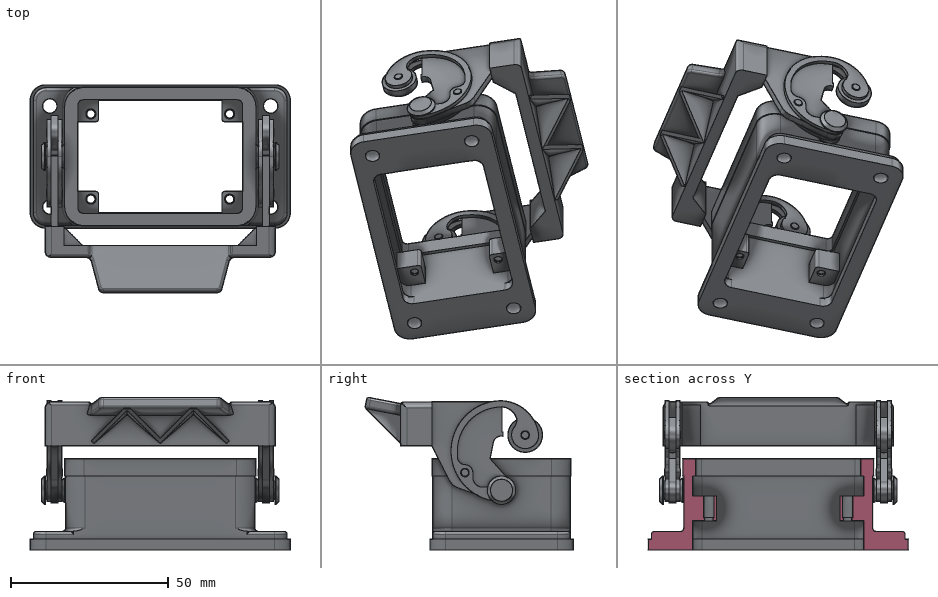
import cadquery as cq
import math

COS_45 = math.sqrt(0.5)
PICK_MARGIN = 0.1

BASE_X, BASE_Y, BASE_H, BASE_R = 82.5, 45.5, 3.5, 5.0
STEP_X, STEP_Y, STEP_TOP, STEP_R = 80.5, 43.7, 6.0, 4.1
STEP_EDGE_R = 1.0
MOUNT_HOLE_D, MOUNT_HOLE_X, MOUNT_HOLE_Y = 4.5, 35.0, 16.0

BODY_X, BODY_R = 60.0, 6.1
BODY_Y = STEP_Y
BODY_FILLET = 1.0
CAP_X, CAP_Y, CAP_R = 60.6, 44.0, 6.2
CAP_BOTTOM, CAP_TOP = 23.5, 29.0
MOUTH_X, MOUTH_Y, MOUTH_R = 52.2, 36.0, 1.7
CHAMBER_X, CHAMBER_Y, CHAMBER_R = 54.2, 37.4, 3.0
FLOOR_OPENING_Y = 35.4
POST_INNER_X, POST_INNER_Y, POST_R = 19.5, 11.0, 1.0
POST_BOTTOM, POST_TOP = 9.3, 17.2
SCREW_X, SCREW_Y = 22.0, 13.5
SCREW_D, SCREW_TIP_D, SCREW_TIP_H = 3.2, 2.6, 1.0

PLATE_IN, LEVER_IN, LEVER_OUT, PLATE_OUT = 31.2, 32.4, 34.6, 35.85

PIVOT_Z = 19.0
BOSS_R, BOSS_END_R = 3.9, 3.1
SHAFT_R = 3.0
HEAD_IN, HEAD_OUT, HEAD_R, HEAD_CHAMFER = 36.4, 37.7, 4.5, 1.0

PLATE_R, PLATE_INNER_R = 16.0, 14.0
PLATE_EYE_R = 3.6
PLATE_Z = PIVOT_Z - PLATE_EYE_R + PLATE_R
ROLLER_Y, ROLLER_Z, ROLLER_R = 7.5, 36.5, 5.5
PLATE_END_R = 4.3
RIVET_Y, RIVET_Z = -11.6, 24.6
RIVET_R, RIVET_H, RIVET_CHAMFER = 1.35, 0.2, 0.19
RIVET_BOSS_R = 2.5
HOOK_BACK_MID = (8.15, 43.9)
HOOK_THROAT_MID, HOOK_THROAT_END = (3.5, 43.9), (4.9, 41.1)
STRAP_RISE, STRAP_END_Y = 1.0, -6.5
STRAP_BEND_MID, STRAP_BEND_Z = (-8.3, 21.0), 23.2
BOSS_BEND_MID, BOSS_BEND_Z = (-13.3, 27.9), 29.6

LEVER_EYE_R, LEVER_KNEE_R, LEVER_KNEE_Y = 4.0, 5.0, -15.7
LEVER_LOW_ANGLE, LEVER_STEEP_ANGLE = 20.0, 50.0
LEVER_NOSE_Y, LEVER_TOOTH_Y = 0.2, 0.5
LEVER_TOOTH_TOP, LEVER_TOOTH_BOTTOM = 37.5, 36.1
LEVER_HEEL_MID, LEVER_HEEL_END = (-1.7, 35.6), (-2.5, 34.5)
LEVER_CROOK = (-3.6, 29.0)
HANDLE_X = 73.0
HANDLE_BACK, HANDLE_FRONT = -22.1, -32.0
HANDLE_BOTTOM, HANDLE_TOP, LEVER_TOP = 33.1, 47.0, 47.1
ARM_IN, BAR_BACK = 30.5, -28.2
HANDLE_CORNER_R, HANDLE_EDGE_R = 2.0, 1.0
GUSSET_LEG, GUSSET_DROP = 5.9, 1.0

TAB_TIP, TAB_ROOT_GAP = -43.35, 1.0
TAB_ROOT_X, TAB_NECK_R = 24.0, 2.3
TAB_ANGLE, TAB_TAPER = 11.0, 14.5
TAB_T, TAB_UNDER_Z = 3.68, 42.75
TAB_EDGE_R, TAB_CORNER_R = 0.8, 1.7
RECESS_X, RECESS_R = 22.3, 0.6

RIB_FOOT_Z, RIB_PITCH, RIB_T, RIB_FLARE = 33.8, 10.5, 1.2, 1.35
RIB_REACH, RIB_TAB_ROOM = 11.0, 3.0


def rounded_block(length, width, radius, bottom, top):
    block = cq.Workplane("XY").workplane(offset=bottom).rect(length, width)
    return block.extrude(top - bottom).edges("|Z").fillet(radius)


def x_cylinder(y, z, radius, start, end):
    return cq.Workplane("YZ", origin=(start, y, z)).circle(radius).extrude(end - start)


def both_sides(half):
    return half.union(half.mirror("YZ"))


def make_base():
    base = rounded_block(BASE_X, BASE_Y, BASE_R, 0, BASE_H)
    step = rounded_block(STEP_X, STEP_Y, STEP_R, 0, STEP_TOP)
    step = step.faces(">Z").edges().fillet(STEP_EDGE_R)
    body = rounded_block(BODY_X, BODY_Y, BODY_R, 0, CAP_BOTTOM)
    cap = rounded_block(CAP_X, CAP_Y, CAP_R, CAP_BOTTOM, CAP_TOP)
    return base.union(step).union(body).union(make_root_fillet()).union(cap)


def make_root_fillet():
    """Concave fillet around the foot of the body, trimmed to the outline of the flange step."""
    r = BODY_FILLET
    half_x = BODY_X / 2
    straight_y = BODY_Y / 2 - BODY_R
    mid = r * (1 - COS_45)

    def profile():
        section = cq.Workplane("XZ", origin=(half_x, straight_y, STEP_TOP))
        section = section.moveTo(0, -r).lineTo(r, -r).lineTo(r, 0)
        return section.threePointArc((mid, mid), (0, r)).close()

    side = profile().extrude(2 * straight_y)
    corner = profile().revolve(90, (-BODY_R, 0, 0), (-BODY_R, 1, 0))
    half = side.union(corner).union(corner.mirror("XZ"))
    trim = rounded_block(STEP_X, STEP_Y, STEP_R, 0, CAP_BOTTOM)
    return both_sides(half.intersect(trim))


def make_cavity():
    mouth = rounded_block(MOUTH_X, MOUTH_Y, MOUTH_R, CAP_BOTTOM, CAP_TOP)
    chamber = rounded_block(CHAMBER_X, CHAMBER_Y, CHAMBER_R, BASE_H, CAP_BOTTOM)
    floor = rounded_block(CHAMBER_X, FLOOR_OPENING_Y, CHAMBER_R, 0, BASE_H)
    return mouth.union(chamber).union(floor)


def make_post(sx, sy):
    """Corner post with a stepped screw hole; its outer sides are sunk in the chamber walls."""
    outer_x, outer_y = (CHAMBER_X + CHAMBER_R) / 2, (CHAMBER_Y + CHAMBER_R) / 2
    size_x, size_y = outer_x - POST_INNER_X, outer_y - POST_INNER_Y
    center = (sx * (outer_x + POST_INNER_X) / 2, sy * (outer_y + POST_INNER_Y) / 2, POST_BOTTOM)
    post = cq.Workplane("XY", origin=center).rect(size_x, size_y).extrude(POST_TOP - POST_BOTTOM)
    post = post.edges("|Z").fillet(POST_R)
    screw_axis = cq.Workplane("XY", origin=(sx * SCREW_X, sy * SCREW_Y, POST_BOTTOM))
    tip_hole = screw_axis.circle(SCREW_TIP_D / 2).extrude(POST_TOP - POST_BOTTOM)
    screw_hole = screw_axis.workplane(offset=SCREW_TIP_H).circle(SCREW_D / 2)
    return post.cut(tip_hole).cut(screw_hole.extrude(POST_TOP - POST_BOTTOM))


def make_housing():
    housing = make_base().cut(make_cavity())
    holes = cq.Workplane("XY").rect(2 * MOUNT_HOLE_X, 2 * MOUNT_HOLE_Y, forConstruction=True)
    housing = housing.cut(holes.vertices().circle(MOUNT_HOLE_D / 2).extrude(STEP_TOP))
    for sx in (-1, 1):
        for sy in (-1, 1):
            housing = housing.union(make_post(sx, sy))
    return housing


def make_pivot():
    boss_start = (CHAMBER_X + BODY_X) / 4
    boss = x_cylinder(0, PIVOT_Z, BOSS_R, boss_start, PLATE_IN)
    boss = boss.faces(">X").chamfer(BOSS_R - BOSS_END_R)
    shaft = x_cylinder(0, PIVOT_Z, SHAFT_R, boss_start, HEAD_OUT)
    head = x_cylinder(0, PIVOT_Z, HEAD_R, HEAD_IN, HEAD_OUT).faces(">X").chamfer(HEAD_CHAMFER)
    return boss.union(shaft).union(head)


def hook_plate(start, end):
    """C-shaped side plate running from the pivot eye round to the roller eye."""
    strap_z = PIVOT_Z + STRAP_RISE
    eye_y = -math.sqrt(PLATE_EYE_R ** 2 - STRAP_RISE ** 2)
    boss_y = RIVET_Y + RIVET_BOSS_R
    boss_45 = RIVET_BOSS_R * COS_45
    inner_45 = PLATE_INNER_R * COS_45
    end_45 = PLATE_END_R * COS_45
    inner_top = (0, PLATE_Z + PLATE_INNER_R)
    roller_back = (ROLLER_Y + PLATE_END_R, ROLLER_Z)
    plate = (
        cq.Workplane("YZ", origin=(start, 0, 0))
        .moveTo(*roller_back)
        .threePointArc(HOOK_BACK_MID, (0, PLATE_Z + PLATE_R))
        .threePointArc((-PLATE_R, PLATE_Z), (0, PLATE_Z - PLATE_R))
        .threePointArc((PLATE_EYE_R, PIVOT_Z), (eye_y, strap_z))
        .lineTo(STRAP_END_Y, strap_z)
        .threePointArc(STRAP_BEND_MID, (boss_y, STRAP_BEND_Z))
        .lineTo(boss_y, RIVET_Z)
        .threePointArc((RIVET_Y + boss_45, RIVET_Z + boss_45), (RIVET_Y, RIVET_Z + RIVET_BOSS_R))
        .threePointArc(BOSS_BEND_MID, (-PLATE_INNER_R, BOSS_BEND_Z))
        .lineTo(-PLATE_INNER_R, PLATE_Z)
        .threePointArc((-inner_45, PLATE_Z + inner_45), inner_top)
        .threePointArc(HOOK_THROAT_MID, HOOK_THROAT_END)
        .lineTo(ROLLER_Y - end_45, ROLLER_Z + end_45)
        .threePointArc((ROLLER_Y, ROLLER_Z - PLATE_END_R), roller_back)
        .close()
    )
    return plate.extrude(end - start)


def lever_plate():
    """Flat arm between the pivot eye and the handle."""
    low, steep = math.radians(LEVER_LOW_ANGLE), math.radians(LEVER_STEEP_ANGLE)
    low_tangent = (-LEVER_EYE_R * math.sin(low), PIVOT_Z - LEVER_EYE_R * math.cos(low))
    high_tangent = (LEVER_EYE_R * math.sin(steep), PIVOT_Z + LEVER_EYE_R * math.cos(steep))
    knee_z = low_tangent[1] + (low_tangent[0] - LEVER_KNEE_Y) * math.tan(low)
    arm = (
        cq.Workplane("YZ", origin=(LEVER_IN, 0, 0))
        .moveTo(*low_tangent)
        .lineTo(LEVER_KNEE_Y, knee_z)
        .lineTo(HANDLE_BACK, HANDLE_BOTTOM)
        .lineTo(HANDLE_BACK, LEVER_TOP)
        .lineTo(LEVER_NOSE_Y, LEVER_TOP)
        .lineTo(LEVER_NOSE_Y, LEVER_TOOTH_TOP)
        .lineTo(LEVER_TOOTH_Y, LEVER_TOOTH_TOP)
        .lineTo(LEVER_TOOTH_Y, LEVER_TOOTH_BOTTOM)
        .threePointArc(LEVER_HEEL_MID, LEVER_HEEL_END)
        .lineTo(*LEVER_CROOK)
        .lineTo(*high_tangent)
        .threePointArc((LEVER_EYE_R, PIVOT_Z), low_tangent)
        .close()
        .extrude(LEVER_OUT - LEVER_IN)
    )
    knee = cq.selectors.NearestToPointSelector(((LEVER_IN + LEVER_OUT) / 2, LEVER_KNEE_Y, knee_z))
    return arm.edges("|X").edges(knee).fillet(LEVER_KNEE_R)


def make_side():
    """Pivot, lever, two hook plates, roller and rivets of the +X side."""
    side = make_pivot().union(lever_plate())
    side = side.union(hook_plate(PLATE_IN, LEVER_IN)).union(hook_plate(LEVER_OUT, PLATE_OUT))
    side = side.union(x_cylinder(ROLLER_Y, ROLLER_Z, ROLLER_R, LEVER_IN, LEVER_OUT))
    for y, z in ((ROLLER_Y, ROLLER_Z), (RIVET_Y, RIVET_Z)):
        rivet = x_cylinder(y, z, RIVET_R, PLATE_IN - RIVET_H, PLATE_OUT + RIVET_H)
        side = side.union(rivet.faces("<X or >X").chamfer(RIVET_CHAMFER))
    return side


def tilt(solid):
    """Swing a level solid about the lower root line of the tab into the slope of the tab."""
    pivot = (0, HANDLE_FRONT, TAB_UNDER_Z)
    return solid.rotate(pivot, (1, HANDLE_FRONT, TAB_UNDER_Z), -TAB_ANGLE)


def make_tab():
    """Tapered thumb tab, blended into the bar by a concave neck and tilted upwards to its tip."""
    root = BAR_BACK - TAB_ROOT_GAP
    tip = HANDLE_FRONT + (TAB_TIP - HANDLE_FRONT) / math.cos(math.radians(TAB_ANGLE))
    turn = math.radians(90 - TAB_TAPER)

    def on_neck(angle):
        x = TAB_ROOT_X - TAB_NECK_R * math.sin(angle)
        return x, HANDLE_FRONT - TAB_NECK_R * (1 - math.cos(angle))

    middle, neck = on_neck(turn / 2), on_neck(turn)
    tip_x = neck[0] - (neck[1] - tip) * math.tan(math.radians(TAB_TAPER))
    half = (
        cq.Workplane("XY", origin=(0, 0, TAB_UNDER_Z))
        .moveTo(0, root)
        .lineTo(TAB_ROOT_X, root)
        .lineTo(TAB_ROOT_X, HANDLE_FRONT)
        .threePointArc(middle, neck)
        .lineTo(tip_x, tip)
        .lineTo(0, tip)
        .close()
        .extrude(TAB_T)
    )
    tab = both_sides(half)
    tab = tab.edges("|Z").edges("<Y").fillet(TAB_CORNER_R)
    rim_start = HANDLE_FRONT - PICK_MARGIN
    rim_low, rim_high = (-TAB_ROOT_X, tip - PICK_MARGIN, 0), (TAB_ROOT_X, rim_start, HANDLE_TOP)
    free_rim = cq.selectors.BoxSelector(rim_low, rim_high)
    tab = tab.faces("<Z or >Z").edges(free_rim).fillet(TAB_EDGE_R)
    return tilt(tab)


def make_rib():
    """One rib rising at 45 degrees from the middle plane; its underside flares out towards the bar."""
    top = RIB_T / COS_45
    end = RIB_T * COS_45

    def section(low_shift, depth):
        outline = [
            (0, low_shift),
            (RIB_PITCH, RIB_PITCH - RIB_FLARE + low_shift),
            (RIB_PITCH, RIB_PITCH + top),
            (-end, top - end),
        ]
        points = [cq.Vector(x, HANDLE_FRONT - depth, RIB_FOOT_Z + z) for x, z in outline]
        return cq.Wire.makePolygon(points, close=True)

    tip_shift = RIB_FLARE * RIB_REACH / RIB_PITCH
    solid = cq.Solid.makeLoft([section(0, 0), section(tip_shift, RIB_REACH)], True)
    return cq.Workplane(obj=solid)


def make_ribs():
    """Zigzag ribs under the tab, cut off along a 45 degree slope."""
    reach = RIB_REACH
    ceiling = RIB_FOOT_Z + reach + RIB_TAB_ROOM
    slope = (
        cq.Workplane("YZ", origin=(-HANDLE_X / 2, 0, 0))
        .moveTo(HANDLE_FRONT, RIB_FOOT_Z)
        .lineTo(HANDLE_FRONT - reach, RIB_FOOT_Z + reach)
        .lineTo(HANDLE_FRONT - reach, ceiling)
        .lineTo(HANDLE_FRONT, ceiling)
        .close()
        .extrude(HANDLE_X)
    )
    above_tab = cq.Workplane("XY", origin=(0, HANDLE_FRONT, TAB_UNDER_Z + TAB_T / 2))
    above_tab = tilt(above_tab.rect(HANDLE_X, 4 * reach).extrude(reach))
    rising = make_rib().intersect(slope).cut(above_tab)
    outer = rising.translate((-2 * RIB_PITCH, 0, 0))
    return both_sides(rising.union(outer).union(rising.mirror("YZ")))


def make_handle_block():
    """Bar with two short arms, rounded at its outer corners, with the sunken bed of the tab."""
    height = HANDLE_TOP - HANDLE_BOTTOM
    depth = HANDLE_BACK - HANDLE_FRONT
    origin = (0, (HANDLE_BACK + HANDLE_FRONT) / 2, HANDLE_BOTTOM)
    blank = cq.Workplane("XY", origin=origin).rect(HANDLE_X, depth).extrude(height)
    block = blank.edges("|Z and <Y").fillet(HANDLE_CORNER_R)
    block = block.intersect(blank.edges("|Y and >Z").fillet(HANDLE_CORNER_R))
    block = block.intersect(blank.edges("|X and >Z and <Y").fillet(HANDLE_EDGE_R))
    recess = cq.Workplane("XY", origin=(0, HANDLE_FRONT, TAB_UNDER_Z + TAB_T))
    recess = recess.rect(2 * RECESS_X, 4 * depth).extrude(height)
    recess = recess.edges("|Y and <Z").fillet(RECESS_R)
    block = block.cut(tilt(recess))
    lip_x = RECESS_X + PICK_MARGIN
    lip_low = (-lip_x, HANDLE_FRONT, HANDLE_TOP - PICK_MARGIN)
    lip_high = (lip_x, HANDLE_BACK, HANDLE_TOP + PICK_MARGIN)
    lips = cq.selectors.BoxSelector(lip_low, lip_high)
    return block.edges(lips).edges("|Y").fillet(RECESS_R)


def make_handle():
    height = HANDLE_TOP - HANDLE_BOTTOM
    handle = make_handle_block()
    gap = cq.Workplane("XY", origin=(0, 0, HANDLE_BOTTOM))
    gap = gap.moveTo(-ARM_IN, HANDLE_BACK).lineTo(-ARM_IN, BAR_BACK).lineTo(ARM_IN, BAR_BACK)
    handle = handle.cut(gap.lineTo(ARM_IN, HANDLE_BACK).close().extrude(height))
    gusset = cq.Workplane("XY", origin=(0, 0, HANDLE_BOTTOM)).moveTo(ARM_IN, BAR_BACK)
    gusset = gusset.lineTo(ARM_IN - GUSSET_LEG, BAR_BACK).lineTo(ARM_IN, BAR_BACK + GUSSET_LEG)
    handle = handle.union(both_sides(gusset.close().extrude(height - GUSSET_DROP)))
    return handle.union(make_tab()).union(make_ribs())


result = make_housing().union(both_sides(make_side())).union(make_handle())